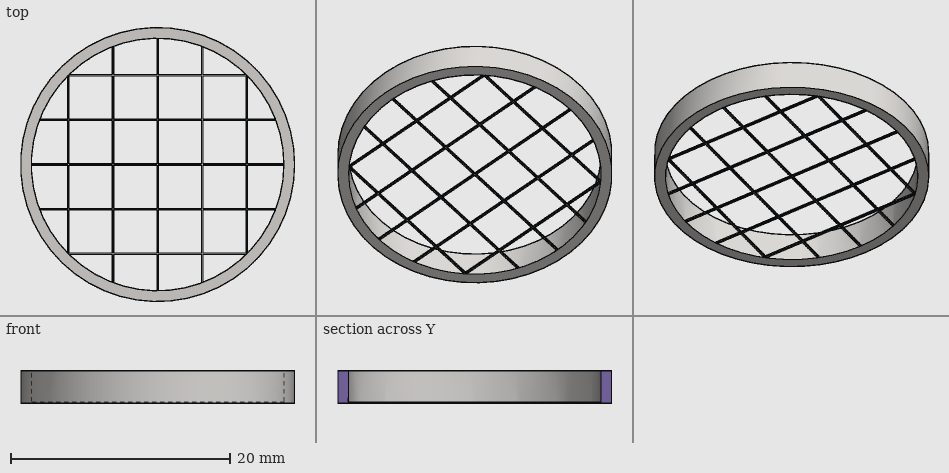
import cadquery as cq

outer_diameter = 25.0
inner_diameter = 23.0
ring_height = 3.0

grid_diameter = 24.25
wire_width = 0.15
wire_height = 0.15
grid_lift = 0.005
wire_count = 5

gap = (grid_diameter - wire_count * wire_width) / (wire_count + 1)
wire_pitch = gap + wire_width


def make_ring():
    return (
        cq.Workplane("XY")
        .circle(outer_diameter / 2)
        .circle(inner_diameter / 2)
        .extrude(ring_height)
    )


def make_grid():
    """Crossing wires along X and Y, trimmed to a disc that ends inside the ring wall."""
    along_x = (
        cq.Workplane("XY")
        .rarray(wire_pitch, wire_pitch, 1, wire_count)
        .rect(grid_diameter, wire_width)
        .extrude(wire_height)
    )
    along_y = along_x.rotate((0, 0, 0), (0, 0, 1), 90)
    trim_disc = cq.Workplane("XY").circle(grid_diameter / 2).extrude(wire_height)
    grid = along_x.union(along_y).intersect(trim_disc)
    return grid.translate((0, 0, grid_lift))


result = make_ring().union(make_grid())